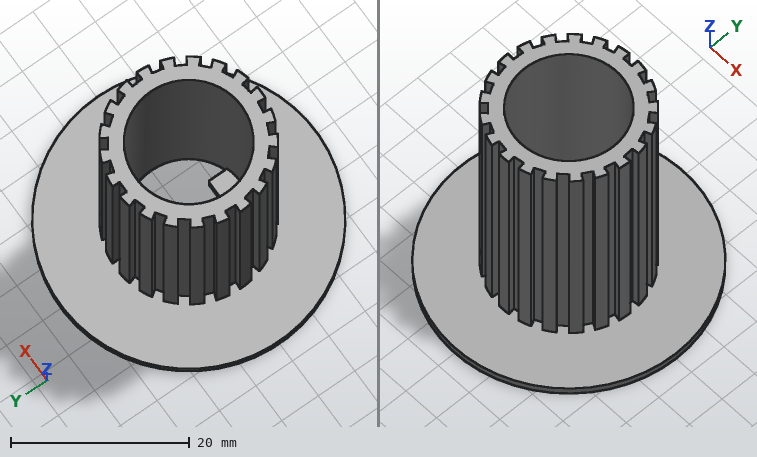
import cadquery as cq

flange_diameter = 35.0
flange_thickness = 1.0
total_height = 31.0
sleeve_diameter = 20.0
bore_diameter = 14.5

groove_count = 21
groove_width = 1.35
groove_depth = 0.98
first_groove_angle = 90.0

key_width = 4.6
key_tip_distance = 4.3
key_corner_radius = 0.18

sleeve_length = total_height - flange_thickness
sleeve_radius = sleeve_diameter / 2
groove_floor_radius = sleeve_radius - groove_depth
key_root_distance = (bore_diameter / 2 + groove_floor_radius) / 2


def make_body():
    """Flange disc and sleeve, with the bore running through both."""
    flange = cq.Workplane("XY").circle(flange_diameter / 2).extrude(flange_thickness)
    sleeve = cq.Workplane("XY").circle(sleeve_radius).extrude(total_height)
    bore = cq.Workplane("XY").circle(bore_diameter / 2).extrude(total_height)
    return flange.union(sleeve).cut(bore)


def make_grooves():
    """Parallel-sided cutters around the sleeve, standing on the flange."""
    cutter_depth = 2 * groove_depth
    cutter = (
        cq.Workplane("XY", origin=(groove_floor_radius + cutter_depth / 2, 0, flange_thickness))
        .rect(cutter_depth, groove_width)
        .extrude(sleeve_length)
        .val()
    )
    cutters = cq.Workplane("XY")
    for index in range(groove_count):
        angle = first_groove_angle + index * 360 / groove_count
        cutters = cutters.add(cutter.rotate((0, 0, 0), (0, 0, 1), angle))
    return cutters.combine()


def make_key():
    """Key at the -Y side of the bore, as thick as the flange."""
    key_length = key_root_distance - key_tip_distance
    key_center_y = -(key_root_distance + key_tip_distance) / 2
    return (
        cq.Workplane("XY", origin=(0, key_center_y, 0))
        .rect(key_width, key_length)
        .extrude(flange_thickness)
        .edges("|Z and >Y")
        .fillet(key_corner_radius)
    )


result = make_body().cut(make_grooves()).union(make_key())